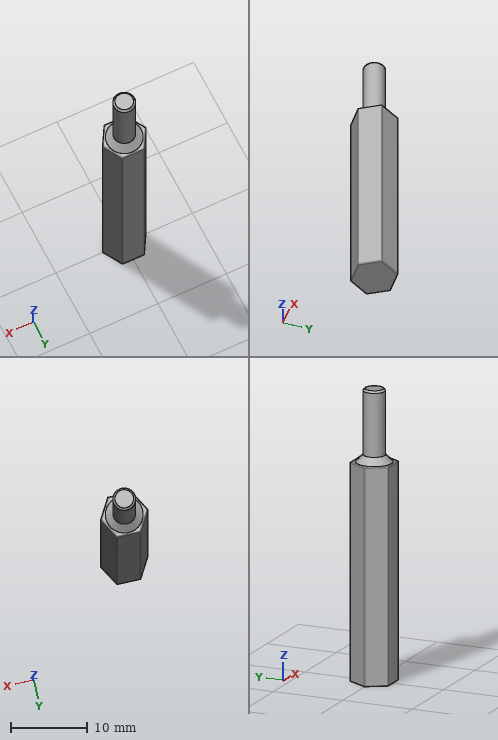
import cadquery as cq
import math

total_length = 40.0
body_length = 30.0
across_flats = 5.5
edge_radius = 0.1
stud_diameter = 3.0
tip_chamfer = 0.3
collar_diameter = 4.95

across_corners = across_flats / math.cos(math.radians(30))
stud_radius = stud_diameter / 2
collar_radius = collar_diameter / 2
collar_height = collar_radius - stud_radius


def hex_body():
    """Hexagonal bar with corners on the X axis and all edges rounded."""
    bar = cq.Workplane("XY").polygon(6, across_corners).extrude(body_length)
    return bar.edges().fillet(edge_radius)


def stud():
    """Stud with a conical collar at its root and a chamfered tip."""
    profile = (
        cq.Workplane("XZ")
        .lineTo(stud_radius, 0)
        .lineTo(stud_radius, body_length)
        .lineTo(collar_radius, body_length)
        .lineTo(stud_radius, body_length + collar_height)
        .lineTo(stud_radius, total_length - tip_chamfer)
        .lineTo(stud_radius - tip_chamfer, total_length)
        .lineTo(0, total_length)
        .close()
    )
    return profile.revolve(360, (0, 0, 0), (0, 1, 0))


result = hex_body().union(stud())